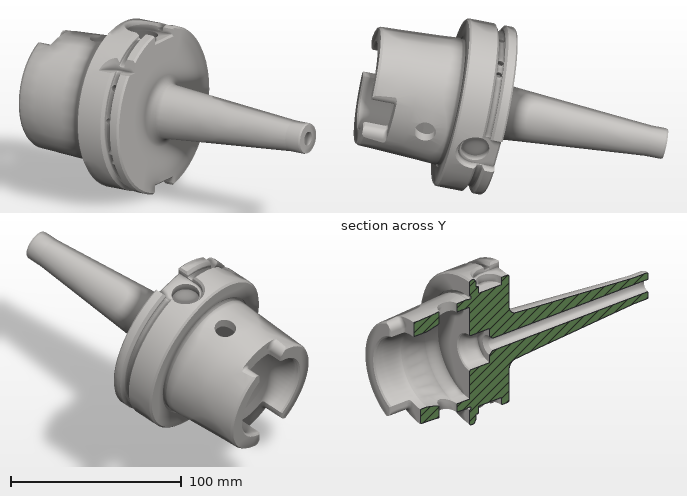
import cadquery as cq
import math


total_length = 179.0
flange_start = 50.0
flange_end = 79.0
nose_length = 10.0

shank_mouth_radius = 35.3
shank_taper = 1 / 19
shank_chamfer_length = 1.5
shank_chamfer_depth = 0.7
undercut_start = 48.2
undercut_run_in = 0.9
undercut_radius = 37.5
relief_outer_radius = 39.0
relief_depth = 1.0

flange_diameter = 100.0
flange_radius = flange_diameter / 2
flange_chamfer = 1.0
groove_start = 68.0
groove_end = 71.8
groove_floor_radius = 46.0
groove_lip_radius = 48.0
groove_lip_length = 1.5
groove_corner_bevel = 0.5

nose_radius = 9.1
nose_chamfer_length = 1.0
nose_chamfer_depth = 0.4
neck_angle = math.radians(4.6)
neck_root_fillet = 5.2

mouth_radius = 25.8
mouth_chamfer = 0.9
mouth_length = 19.5
cavity_radius = 31.5
cavity_flare_end = 40.6
cavity_end = 50.1
socket_radius = 11.6
socket_chamfer = 0.7
socket_end = 64.5
through_radius = 4.1
countersink_radius = 6.5

drive_half_width = 9.7
drive_round_radius = 4.7
drive_ledge_height = 32.0
drive_end_fillet = 1.6
drive_mouth_chamfer = 0.7
top_drive_depth = 9.8
bottom_drive_depth = 14.5

cross_hole_x = 34.7
cross_hole_radius = 6.3

seat_x = 65.0
seat_half_width = 10.0
seat_floor_height = 44.0
seat_flare_height = 47.3
seat_flare_angle = 30
seat_end_chamfer = 1.0
seat_hole_radius = 8.2
seat_hole_depth = 5.0

notch_offset = 31.5
notch_round_radius = 10.0

groove_hole_radius = 1.8
groove_hole_depth = 3.5
groove_hole_angles = (30, 5, -20, -30)

cut_clearance = 9.0
oversize = flange_radius + cut_clearance


def shank_radius(x):
    return shank_mouth_radius + shank_taper * x


def turned_body():
    """Outside of the holder as one solid of revolution, before any cuts."""
    nose_start = total_length - nose_length
    slope = math.tan(neck_angle)
    center_x = flange_end + neck_root_fillet
    cone_radius = nose_radius + slope * (nose_start - center_x)
    center_r = cone_radius + neck_root_fillet / math.cos(neck_angle)

    def fillet_point(angle):
        return (center_x - neck_root_fillet * math.sin(angle), center_r - neck_root_fillet * math.cos(angle))

    fillet_mid = fillet_point((math.pi / 2 + neck_angle) / 2)
    fillet_stop = fillet_point(neck_angle)
    profile = (
        cq.Workplane("XY")
        .moveTo(0, 0)
        .lineTo(0, shank_mouth_radius - shank_chamfer_depth)
        .lineTo(shank_chamfer_length, shank_radius(shank_chamfer_length))
        .lineTo(undercut_start, shank_radius(undercut_start))
        .lineTo(undercut_start + undercut_run_in, undercut_radius)
        .lineTo(flange_start + relief_depth, undercut_radius)
        .lineTo(flange_start + relief_depth, relief_outer_radius)
        .lineTo(flange_start, relief_outer_radius)
        .lineTo(flange_start, flange_radius - flange_chamfer)
        .lineTo(flange_start + flange_chamfer, flange_radius)
        .lineTo(groove_start - groove_lip_length, flange_radius)
        .lineTo(groove_start, groove_lip_radius)
        .lineTo(groove_start, groove_floor_radius + groove_corner_bevel)
        .lineTo(groove_start + groove_corner_bevel, groove_floor_radius)
        .lineTo(groove_end - groove_corner_bevel, groove_floor_radius)
        .lineTo(groove_end, groove_floor_radius + groove_corner_bevel)
        .lineTo(groove_end, groove_lip_radius)
        .lineTo(groove_end + groove_lip_length, flange_radius)
        .lineTo(flange_end - flange_chamfer, flange_radius)
        .lineTo(flange_end, flange_radius - flange_chamfer)
        .lineTo(flange_end, center_r)
        .threePointArc(fillet_mid, fillet_stop)
        .lineTo(nose_start, nose_radius)
        .lineTo(total_length - nose_chamfer_length, nose_radius)
        .lineTo(total_length, nose_radius - nose_chamfer_depth)
        .lineTo(total_length, 0)
        .close()
    )
    return profile.revolve(360, (0, 0, 0), (1, 0, 0))


def cavity():
    """Stepped cavity on the axis, from the shank mouth to the through hole in the nose."""
    points = [
        (0, 0),
        (0, mouth_radius + mouth_chamfer),
        (mouth_chamfer, mouth_radius),
        (mouth_length, mouth_radius),
        (cavity_flare_end, cavity_radius),
        (cavity_end, cavity_radius),
        (cavity_end, socket_radius + socket_chamfer),
        (cavity_end + socket_chamfer, socket_radius),
        (socket_end, socket_radius),
        (socket_end, countersink_radius),
        (socket_end + countersink_radius - through_radius, through_radius),
        (total_length, through_radius),
        (total_length, 0),
    ]
    return cq.Workplane("XY").polyline(points).close().revolve(360, (0, 0, 0), (1, 0, 0))


def drive_slot(depth):
    """Slot at +Z, with rounded shoulders and a filleted end."""
    round_bottom = drive_ledge_height - drive_round_radius
    shoulder = drive_half_width + drive_round_radius
    diagonal = drive_round_radius * math.sqrt(0.5)
    slot = (
        cq.Workplane("YZ")
        .moveTo(-drive_half_width, 0)
        .lineTo(drive_half_width, 0)
        .lineTo(drive_half_width, round_bottom)
        .threePointArc((shoulder - diagonal, round_bottom + diagonal), (shoulder, drive_ledge_height))
        .lineTo(oversize, drive_ledge_height)
        .lineTo(oversize, oversize)
        .lineTo(-oversize, oversize)
        .lineTo(-oversize, drive_ledge_height)
        .lineTo(-shoulder, drive_ledge_height)
        .threePointArc((diagonal - shoulder, round_bottom + diagonal), (-drive_half_width, round_bottom))
        .close()
        .extrude(depth)
        .faces(">X")
        .edges()
        .fillet(drive_end_fillet)
    )
    mouth_half_width = drive_half_width + drive_mouth_chamfer
    mouth = (
        cq.Workplane("XY")
        .polyline([
            (0, -mouth_half_width),
            (drive_mouth_chamfer, -drive_half_width),
            (drive_mouth_chamfer, drive_half_width),
            (0, mouth_half_width),
        ])
        .close()
        .extrude(drive_ledge_height)
    )
    return slot.union(mouth)


def seat_outline(height):
    """Outline at the given height: a half circle at the inner end, then straight past the flange."""
    return (
        cq.Workplane("XY")
        .workplane(offset=height)
        .moveTo(oversize + flange_end, seat_half_width)
        .lineTo(seat_x, seat_half_width)
        .threePointArc((seat_x - seat_half_width, 0), (seat_x, -seat_half_width))
        .lineTo(oversize + flange_end, -seat_half_width)
        .close()
    )


def key_seat():
    """Flat seat at +Z with flared upper walls, a blind hole and a chamfer where it leaves the flange."""
    walls = seat_outline(seat_floor_height).extrude(oversize - seat_floor_height)
    flare = seat_outline(seat_flare_height).extrude(oversize - seat_flare_height, taper=-seat_flare_angle)
    hole = (
        cq.Workplane("XY")
        .workplane(offset=seat_floor_height)
        .center(seat_x, 0)
        .circle(seat_hole_radius)
        .extrude(-seat_hole_depth)
    )
    end_chamfer = (
        cq.Workplane("XZ")
        .polyline([
            (flange_end - seat_end_chamfer, seat_floor_height),
            (flange_end, seat_floor_height),
            (flange_end, seat_floor_height - seat_end_chamfer),
        ])
        .close()
        .extrude(seat_half_width, both=True)
    )
    return walls.union(flare).union(hole).union(end_chamfer)


def corner_notch():
    """Notch at the -Y +Z corner of the flange, with a rounded inner end."""
    diagonal = notch_round_radius * math.sqrt(0.5)
    arc_x = groove_start
    arc_y = -notch_offset - notch_round_radius
    return (
        cq.Workplane("XY")
        .workplane(offset=notch_offset)
        .moveTo(arc_x - notch_round_radius, -oversize)
        .lineTo(arc_x - notch_round_radius, arc_y)
        .threePointArc((arc_x - diagonal, arc_y + diagonal), (arc_x, -notch_offset))
        .lineTo(flange_end, -notch_offset)
        .lineTo(flange_end, -oversize)
        .close()
        .extrude(oversize)
    )


def groove_hole(angle):
    """Blind radial hole in the groove floor, its angle measured from -Y toward +Z."""
    return (
        cq.Workplane("XZ")
        .workplane(offset=groove_floor_radius - groove_hole_depth)
        .center((groove_start + groove_end) / 2, 0)
        .circle(groove_hole_radius)
        .extrude(2 * groove_hole_depth)
        .rotate((0, 0, 0), (1, 0, 0), -angle)
    )


def turned_over(shape):
    """Turn a shape half a turn about the X axis, from +Z to -Z."""
    return shape.rotate((0, 0, 0), (1, 0, 0), 180)


cross_hole = (
    cq.Workplane("XY").center(cross_hole_x, 0).circle(cross_hole_radius).extrude(oversize, both=True)
)

result = turned_body().cut(cavity())
result = result.cut(drive_slot(top_drive_depth))
result = result.cut(turned_over(drive_slot(bottom_drive_depth)))
result = result.cut(cross_hole)
result = result.cut(key_seat())
result = result.cut(turned_over(key_seat()))
result = result.cut(corner_notch())
for angle in groove_hole_angles:
    result = result.cut(groove_hole(angle))